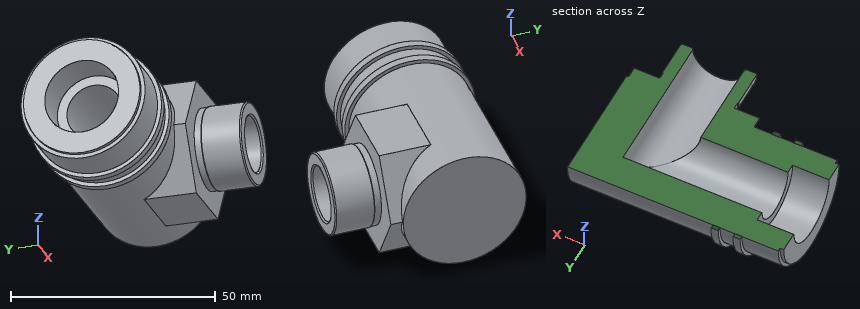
import cadquery as cq
import math

barrel_length = 59.0
barrel_diameter = 32.0
inlet_step_diameter = 30.0
inlet_step_length = 1.0

ring_diameter = 34.0
ring_width = 2.0
ring_starts = [11.0, 17.0]

branch_x = 41.1
hex_across_flats = inlet_step_diameter
hex_across_corners = hex_across_flats / math.cos(math.radians(30))
hex_face = 19.0
neck_diameter = 20.65
neck_length = 1.7
spigot_diameter = 21.0
spigot_end = 31.05
spigot_tip_chamfer = 0.35
spigot_back_chamfer = (spigot_diameter - neck_diameter) / 2

bore_diameter = 14.05
mouth_chamfer = 0.4
counterbore_diameter = 19.0
counterbore_depth = 10.05


def rod_along_x(diameter, start, end):
    """Cylinder on the barrel axis between two X positions."""
    return cq.Workplane("YZ", origin=(start, 0, 0)).circle(diameter / 2).extrude(end - start)


def rod_along_branch(diameter, start, end):
    """Cylinder on the branch axis between two distances from the barrel axis, toward -Y."""
    return cq.Workplane("XZ", origin=(branch_x, -start, 0)).circle(diameter / 2).extrude(end - start)


def make_barrel():
    step = rod_along_x(inlet_step_diameter, 0, inlet_step_length)
    return step.union(rod_along_x(barrel_diameter, inlet_step_length, barrel_length))


def make_branch():
    """Hexagon with two flats facing +Z and -Z, carrying the neck and the spigot."""
    neck_end = hex_face + neck_length
    hexagon = (
        cq.Workplane("XZ", origin=(branch_x, 0, 0))
        .polygon(6, hex_across_corners)
        .extrude(hex_face)
    )
    neck = rod_along_branch(neck_diameter, hex_face, neck_end)
    spigot = rod_along_branch(spigot_diameter, neck_end, spigot_end)
    spigot = spigot.faces("<Y").chamfer(spigot_tip_chamfer)
    spigot = spigot.faces(">Y").chamfer(spigot_back_chamfer)
    return hexagon.union(neck).union(spigot)


def make_passage():
    """Volume removed from the housing: inlet bore and branch bore meeting in a sharp elbow."""
    bore_radius = bore_diameter / 2
    inlet = rod_along_x(bore_diameter, 0, branch_x)
    outlet = rod_along_branch(bore_diameter, 0, spigot_end)
    corner = rod_along_x(bore_diameter, branch_x - bore_radius, branch_x + bore_radius).intersect(
        rod_along_branch(bore_diameter, -bore_radius, bore_radius)
    )
    counterbore = rod_along_x(counterbore_diameter, 0, counterbore_depth)
    mouth = (
        cq.Workplane("XZ", origin=(branch_x, -spigot_end, 0))
        .circle(bore_radius + mouth_chamfer)
        .workplane(offset=-mouth_chamfer)
        .circle(bore_radius)
        .loft()
    )
    return inlet.union(outlet).union(corner).union(counterbore).union(mouth)


def make_housing():
    return make_barrel().union(make_branch()).cut(make_passage())


def make_ring(start):
    """Ring seated on the barrel surface."""
    end = start + ring_width
    return rod_along_x(ring_diameter, start, end).cut(rod_along_x(barrel_diameter, start, end))


housing = make_housing()
rings = [make_ring(start) for start in ring_starts]

result = cq.Compound.makeCompound([housing.val(), *[ring.val() for ring in rings]])